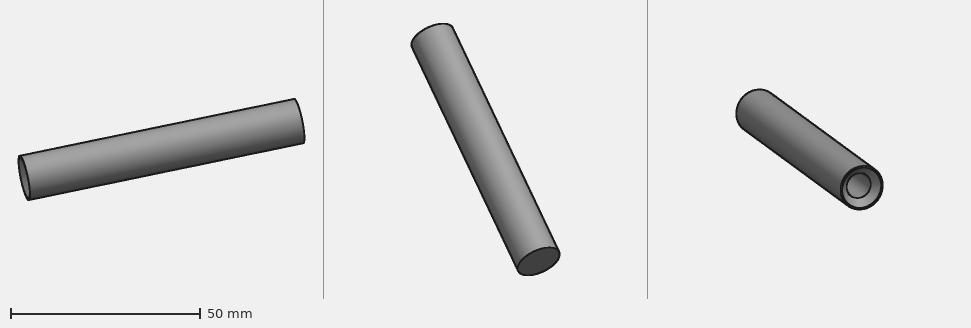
import cadquery as cq
import math

length = 75.0
rod_diameter = 12.0
countersink_diameter = 11.0
hole_diameter = 6.8
hole_depth = 22.5
countersink_angle = 90.0
drill_tip_angle = 118.0

rod_radius = rod_diameter / 2
countersink_radius = countersink_diameter / 2
hole_radius = hole_diameter / 2


def cone_depth(radius_change, included_angle):
    """Axial length over which a cone changes its radius by the given amount."""
    return radius_change / math.tan(math.radians(included_angle / 2))


countersink_depth = cone_depth(countersink_radius - hole_radius, countersink_angle)
tip_depth = cone_depth(hole_radius, drill_tip_angle)

front_face = -length / 2
hole_end = front_face + hole_depth

half_section = (
    cq.Workplane("XY")
    .moveTo(countersink_radius, front_face)
    .lineTo(rod_radius, front_face)
    .lineTo(rod_radius, length / 2)
    .lineTo(0, length / 2)
    .lineTo(0, hole_end + tip_depth)
    .lineTo(hole_radius, hole_end)
    .lineTo(hole_radius, front_face + countersink_depth)
    .close()
)
result = half_section.revolve(360, (0, 0, 0), (0, 1, 0))